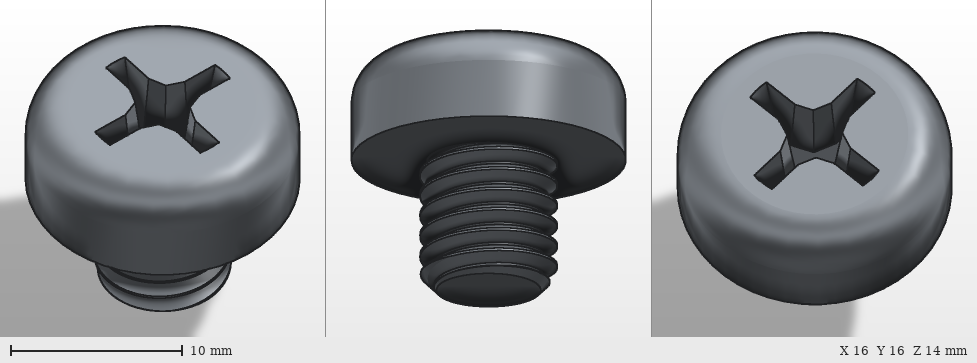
import cadquery as cq
import math

head_diameter = 16
head_height = 6.0
head_edge_radius = 2.55

shank_length = 8
thread_diameter = 8
thread_pitch = 1.25
flank_half_angle = math.radians(30)
tip_diameter = 6.08
crest_height_at_x = 1.0

recess_depth = 4
recess_top_radius = 4.5
recess_floor_radius = 3.1
arm_width = 1.4
hub_corner = 1.14
hub_flare_angle = math.radians(22.5)
recess_wall_draft = 6.3

thread_radius = thread_diameter / 2
thread_flat = thread_pitch / 8
flank_rise = (thread_pitch - 2 * thread_flat) / 2
root_radius = thread_radius - flank_rise / math.tan(flank_half_angle)

total_height = shank_length + head_height
ridge_embed = 0.03
thread_overrun = 2 * thread_pitch


def make_head():
    head = cq.Workplane("XY").workplane(offset=shank_length).circle(head_diameter / 2).extrude(head_height)
    return head.faces(">Z").edges().fillet(head_edge_radius)


def make_thread_ridge():
    """Right-handed ridge that runs past both ends of the shank."""
    foot_radius = root_radius - ridge_embed
    crest_half = thread_flat / 2
    foot_half = crest_half + (thread_radius - foot_radius) * math.tan(flank_half_angle)
    start = crest_height_at_x - thread_overrun
    ridge_length = shank_length + 2 * thread_overrun
    section = [
        (foot_radius, -foot_half),
        (thread_radius, -crest_half),
        (thread_radius, crest_half),
        (foot_radius, foot_half),
    ]
    helices = [
        cq.Wire.makeHelix(thread_pitch, ridge_length, radius).translate(cq.Vector(0, 0, start + z))
        for radius, z in section
    ]
    faces = []
    for helix, next_helix in zip(helices, helices[1:] + helices[:1]):
        faces += cq.Face.makeRuledSurface(helix, next_helix).Faces()
    start_corners = [helix.startPoint() for helix in helices]
    end_corners = [helix.endPoint() for helix in helices]
    for corners in (start_corners, end_corners):
        faces.append(cq.Face.makeFromWires(cq.Wire.makePolygon(corners, close=True)))
    return cq.Workplane(obj=cq.Solid.makeSolid(cq.Shell.makeShell(faces)))


def make_shank():
    """Overlong core and ridge, cut to length and chamfered at the tip by one 45 degree cone."""
    core_start = -2 * thread_overrun
    core_length = shank_length + 4 * thread_overrun
    core = cq.Workplane("XY").workplane(offset=core_start).circle(root_radius).extrude(core_length)
    tip_radius = tip_diameter / 2
    trim_cone = cq.Solid.makeCone(tip_radius, tip_radius + shank_length, shank_length)
    return core.union(make_thread_ridge()).intersect(cq.Workplane(obj=trim_cone))


def make_recess():
    """Drafted cross of bars and of flat rhombi that flare its hub, with the arm ends trimmed by a cone."""
    bar_length = 3 * recess_top_radius
    flare_slope = math.tan(hub_flare_angle)
    rhombus_half_width = hub_corner * (1 + flare_slope)
    rhombus_half_length = rhombus_half_width / flare_slope
    bar = cq.Workplane("XY").rect(bar_length, arm_width)
    rhombus = cq.Workplane("XY").polyline([
        (rhombus_half_length, 0),
        (0, rhombus_half_width),
        (-rhombus_half_length, 0),
        (0, -rhombus_half_width),
    ]).close()
    bar = bar.extrude(-recess_depth, taper=recess_wall_draft)
    rhombus = rhombus.extrude(-recess_depth, taper=recess_wall_draft)
    lengthwise = bar.union(rhombus)
    cross = lengthwise.union(lengthwise.rotate((0, 0, 0), (0, 0, 1), 90))
    cone = cq.Workplane("XY").circle(recess_top_radius).workplane(offset=-recess_depth)
    cone = cone.circle(recess_floor_radius).loft()
    return cross.intersect(cone).translate((0, 0, total_height))


result = make_head().union(make_shank()).cut(make_recess())